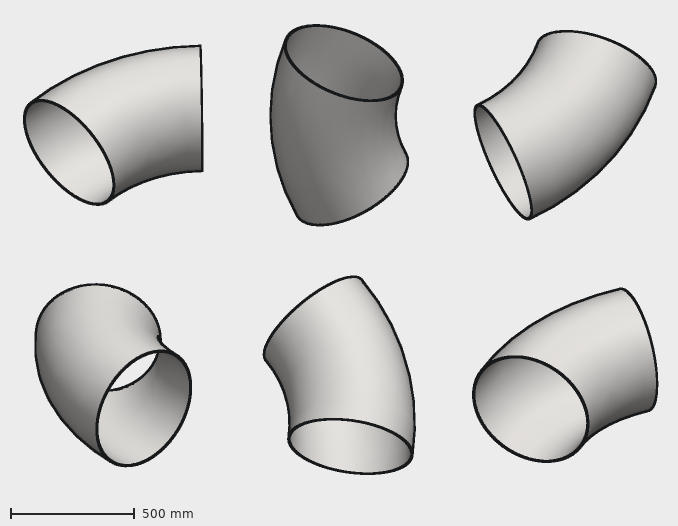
import cadquery as cq
import math

overall_length = 718.5
bend_angle = 45.0
wall = 5.0

bend_ratio = 1.5
outer_bend_ratio = bend_ratio + 0.5
outer_diameter = overall_length / (outer_bend_ratio * math.sin(math.radians(bend_angle)))
bend_radius = bend_ratio * outer_diameter
outer_radius = outer_diameter / 2
inner_radius = outer_radius - wall


def make_elbow():
    """Revolve the tube's ring section, lying in XZ, about a vertical axis on its +X side."""
    ring = cq.Workplane("XZ").circle(outer_radius).circle(inner_radius)
    return ring.revolve(bend_angle, (bend_radius, 0, 0), (bend_radius, -1, 0))


result = make_elbow()